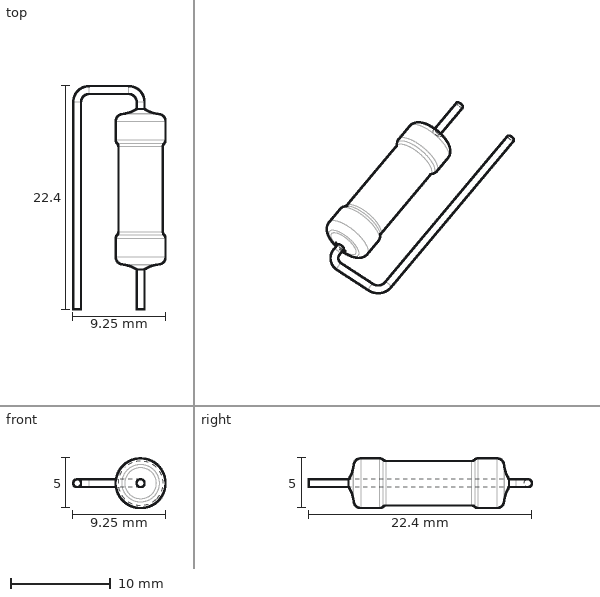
import cadquery as cq
import math

wire_diameter = 0.8
lead_pitch = 6.35
lead_length = 22.35
bend_radius = 1.2

body_centre_y = 12.02
cap_radius = 2.5
sleeve_radius = 2.24
sleeve_half_length = 4.27
cap_inner_half_length = 4.92
corner_half_length = 6.8
corner_radius = 0.74
shoulder_radius = 1.88
flare_radius = 1.56
body_half_length = 8.02

wire_radius = wire_diameter / 2


def half_body():
    """Half of the body on the +Y side of its mid plane, centred on the Y axis."""
    neck_middle = (
        (sleeve_radius + cap_radius) / 2,
        (sleeve_half_length + cap_inner_half_length) / 2,
    )

    corner_centre_r = cap_radius - corner_radius
    end_angle = math.acos((shoulder_radius - corner_centre_r) / corner_radius)

    def corner_point(angle):
        return (
            corner_centre_r + corner_radius * math.cos(angle),
            corner_half_length + corner_radius * math.sin(angle),
        )

    shoulder = corner_point(end_angle)
    cone_rise = (shoulder_radius - flare_radius) / math.tan(end_angle)
    flare_start = (flare_radius, shoulder[1] + cone_rise)

    profile = (
        cq.Workplane("XY")
        .lineTo(sleeve_radius, 0)
        .lineTo(sleeve_radius, sleeve_half_length)
        .tangentArcPoint(neck_middle, relative=False)
        .tangentArcPoint((cap_radius, cap_inner_half_length), relative=False)
        .lineTo(cap_radius, corner_half_length)
        .threePointArc(corner_point(end_angle / 2), shoulder)
        .lineTo(*flare_start)
        .tangentArcPoint((wire_radius, body_half_length), relative=False)
        .lineTo(0, body_half_length)
        .close()
    )
    return profile.revolve(360, (0, 0, 0), (0, 1, 0))


def lead_wire():
    """Wire running through the body axis, bent twice and returning alongside it."""
    top_y = lead_length - wire_radius
    bend_y = top_y - bend_radius
    path = (
        cq.Workplane("XY")
        .lineTo(0, bend_y)
        .tangentArcPoint((-bend_radius, top_y), relative=False)
        .lineTo(bend_radius - lead_pitch, top_y)
        .tangentArcPoint((-lead_pitch, bend_y), relative=False)
        .lineTo(-lead_pitch, 0)
    )
    return cq.Workplane("XZ").circle(wire_radius).sweep(path)


upper_half = half_body()
body = upper_half.union(upper_half.rotate((0, 0, 0), (1, 0, 0), 180)).translate((0, body_centre_y, 0))
result = body.union(lead_wire())